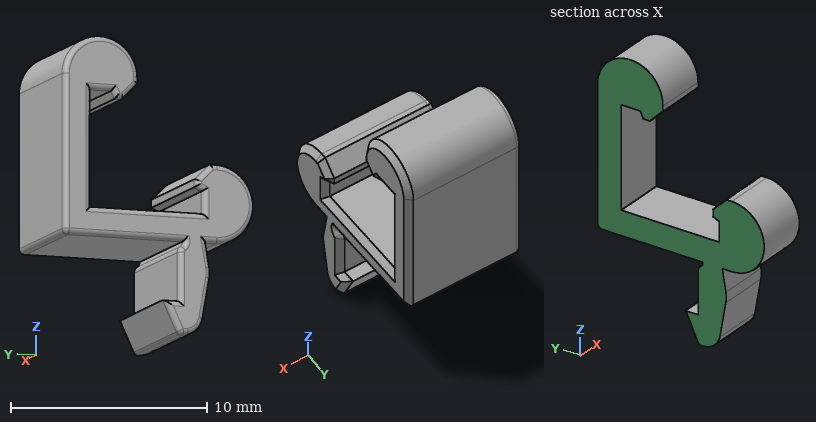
import cadquery as cq
import math


width = 7.0
edge_round = 0.3
far_end_chamfer = 0.36

leg_length = 10.35
wall = 1.5
jaw_radius = 2.04
jaw_side = 2 * jaw_radius
jaw_reach = leg_length - jaw_radius
jaw_face = 7.55
lip_tip = 7.15
lip_root_depth = 2.65
lip_tip_start = 2.84
lip_tip_end = 3.25
lead_in_start = lip_tip + jaw_side - lip_tip_end

arm_overlap = 1.4
arm_reach = 6.23
hook_reach = 5.46
hook_drop = 3.09
hook_angle = math.radians(25)
foot_drop = 4.88
foot_tilt = math.radians(10)
flank_angle = math.radians(10)
peak_reach = 8.03
peak_drop = 1.55
peak_round = 1.75
heel_round = 1.05
relief_radius = 0.3
neck_round = 0.4

bracket_corner = (0, 0)
peak = (-peak_reach, -peak_drop)
foot_reach = hook_reach + (foot_drop - hook_drop) * math.tan(hook_angle)
foot = (-foot_reach, -foot_drop)

flank_reach_at_foot = peak_reach - (foot_drop - peak_drop) * math.tan(flank_angle)
foot_run = (flank_reach_at_foot - foot_reach) / (1 - math.tan(foot_tilt) * math.tan(flank_angle))
heel = (-foot_reach - foot_run, -foot_drop + foot_run * math.tan(foot_tilt))


def bracket():
    """L-shaped bracket with a rounded jaw and a retaining lip on each leg."""
    outline = (
        cq.Workplane("YZ")
        .moveTo(*bracket_corner)
        .lineTo(0, jaw_reach)
        .threePointArc((-jaw_radius, leg_length), (-jaw_side, jaw_reach))
        .lineTo(-jaw_side, lead_in_start)
        .lineTo(-lip_tip_end, lip_tip)
        .lineTo(-lip_tip_start, lip_tip)
        .lineTo(-lip_root_depth, jaw_face)
        .lineTo(-wall, jaw_face)
        .lineTo(-wall, wall)
        .lineTo(-jaw_face, wall)
        .lineTo(-jaw_face, lip_root_depth)
        .lineTo(-lip_tip, lip_tip_start)
        .lineTo(-lip_tip, lip_tip_end)
        .lineTo(-lead_in_start, jaw_side)
        .lineTo(-jaw_reach, jaw_side)
        .threePointArc((-leg_length, jaw_radius), (-jaw_reach, 0))
        .close()
    )
    return finish_ends(outline.extrude(width), bracket_corner)


def on_relief(angle):
    """Point on the neck relief, with the angle measured down from the -Y direction."""
    return (-arm_reach - relief_radius * math.cos(angle), -relief_radius * math.sin(angle))


def latch_arm():
    """Latch arm with a peaked flank on one side, a hook on the other and a relieved neck."""
    top_reach = peak_reach - (peak_drop + arm_overlap) * math.tan(flank_angle)

    round_drop = math.sqrt((relief_radius + neck_round) ** 2 - neck_round ** 2)
    contact_angle = math.atan2(round_drop, neck_round)
    half_turn = contact_angle / 2
    round_middle = (
        -arm_reach - neck_round * (1 - math.cos(half_turn)),
        -round_drop + neck_round * math.sin(half_turn),
    )
    relief_top = on_relief(-math.pi / 2)
    outline = (
        cq.Workplane("YZ")
        .moveTo(-top_reach, arm_overlap)
        .lineTo(*peak)
        .lineTo(*heel)
        .lineTo(*foot)
        .lineTo(-hook_reach, -hook_drop)
        .lineTo(-arm_reach, -hook_drop)
        .lineTo(-arm_reach, -round_drop)
        .threePointArc(round_middle, on_relief(contact_angle))
        .threePointArc(on_relief(0), relief_top)
        .lineTo(-arm_reach, arm_overlap)
        .close()
    )
    arm = outline.extrude(width)
    arm = long_edge(arm, heel).fillet(heel_round)
    arm = long_edge(arm, peak).fillet(peak_round)
    return finish_ends(arm, foot)


def long_edge(body, point):
    """Select the edge that runs along X through the given (y, z) point."""
    middle = (width / 2, point[0], point[1])
    return body.edges(cq.selectors.NearestToPointSelector(middle))


def finish_ends(body, corner):
    """Chamfer the +X end, then round the -X end together with one sharp corner."""
    body = body.faces(">X").edges().chamfer(far_end_chamfer)
    rounded = body.faces("<X").edges().add(long_edge(body, corner))
    return rounded.fillet(edge_round)


result = bracket().union(latch_arm())